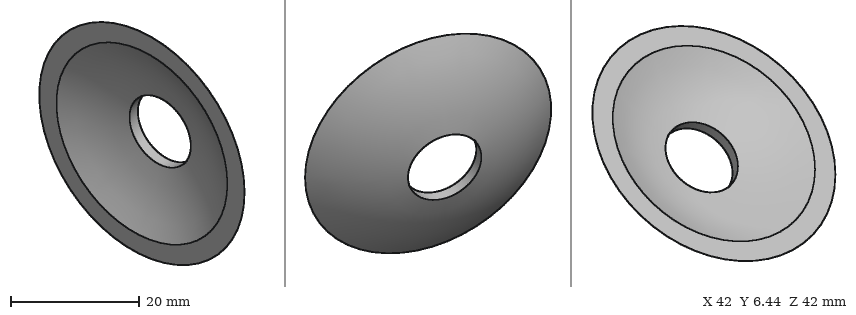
import cadquery as cq
import math

rim_diameter = 42.0
outer_radius = 35.0
wall_thickness = 2.0
hole_diameter = 12.5

inner_radius = outer_radius - wall_thickness
rim_radius = rim_diameter / 2
hole_radius = hole_diameter / 2
centre_y = -math.sqrt(outer_radius**2 - rim_radius**2)
inner_rim_radius = math.sqrt(inner_radius**2 - centre_y**2)


def point_on_sphere(sphere_radius, axis_distance):
    """Profile point (axis distance, y) on a sphere about the common centre."""
    return (axis_distance, centre_y + math.sqrt(sphere_radius**2 - axis_distance**2))


def dished_washer():
    """Spherical shell with a flat rim and a central hole, revolved about Y."""
    outer_middle = (rim_radius + hole_radius) / 2
    inner_middle = (inner_rim_radius + hole_radius) / 2
    profile = (
        cq.Workplane("XY")
        .moveTo(inner_rim_radius, 0)
        .lineTo(rim_radius, 0)
        .threePointArc(
            point_on_sphere(outer_radius, outer_middle),
            point_on_sphere(outer_radius, hole_radius),
        )
        .lineTo(*point_on_sphere(inner_radius, hole_radius))
        .threePointArc(
            point_on_sphere(inner_radius, inner_middle),
            (inner_rim_radius, 0),
        )
        .close()
    )
    return profile.revolve(360, (0, 0, 0), (0, 1, 0))


result = dished_washer()